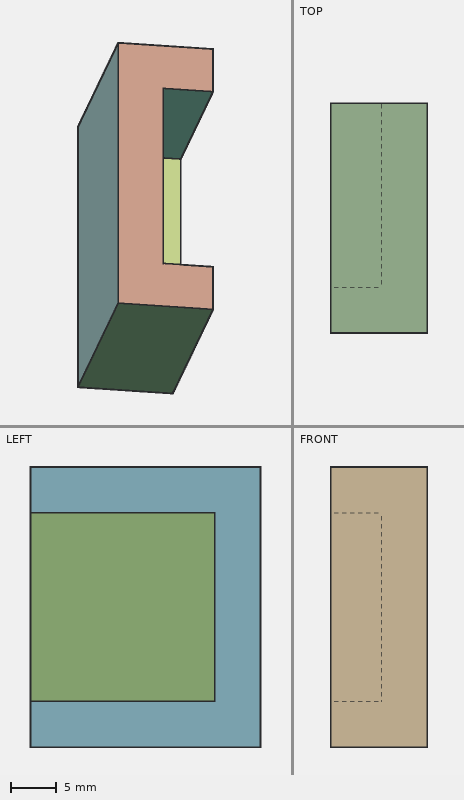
import cadquery as cq

thickness = 10.5
width = 25.0
height = 30.5

rim = 5.0
pocket_depth = 5.5

pocket_width = width - rim
pocket_height = height - 2 * rim

block = cq.Workplane("XY").box(thickness, width, height, centered=False)

pocket = (
    cq.Workplane("XY")
    .box(pocket_depth, pocket_width, pocket_height, centered=False)
    .translate((0, rim, rim))
)

result = block.cut(pocket)